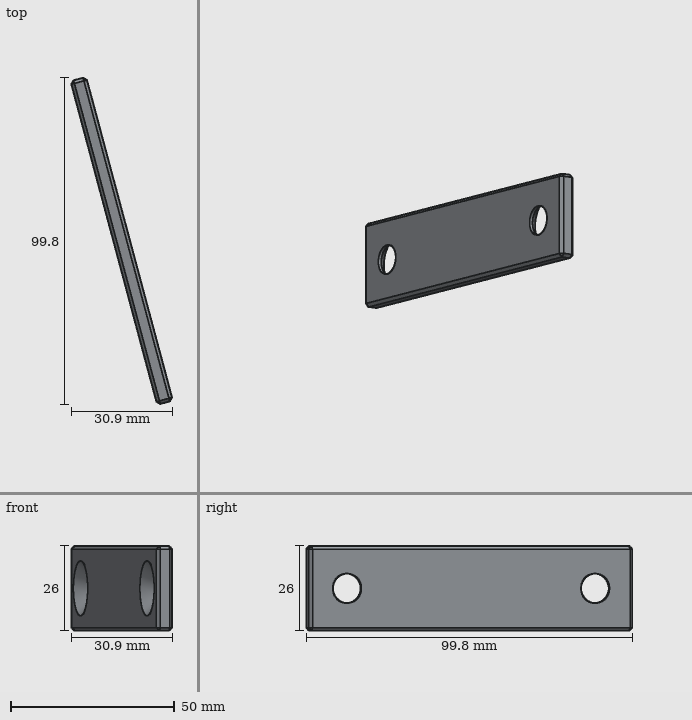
import cadquery as cq

length = 102.56
height = 26.0
thickness = 5.0
edge_chamfer = 1.0
yaw_angle = 15.0

hole_diameter = 9.0
countersink_diameter = 16.8
countersink_angle = 90.0
hole_spacing = 78.6


def chamfered_plate():
    """Upright plate, long along Y, with every outer edge chamfered."""
    plate = cq.Workplane("XY").box(thickness, length, height)
    return plate.edges().chamfer(edge_chamfer)


def add_countersunk_holes(plate):
    """Two through holes on the mid-height line, countersunk from the -X face."""
    half_spacing = hole_spacing / 2
    return (
        plate.faces("<X")
        .workplane(centerOption="CenterOfBoundBox")
        .pushPoints([(-half_spacing, 0), (half_spacing, 0)])
        .cskHole(hole_diameter, countersink_diameter, countersink_angle)
    )


straight_plate = add_countersunk_holes(chamfered_plate())
result = straight_plate.rotate((0, 0, 0), (0, 0, 1), yaw_angle)